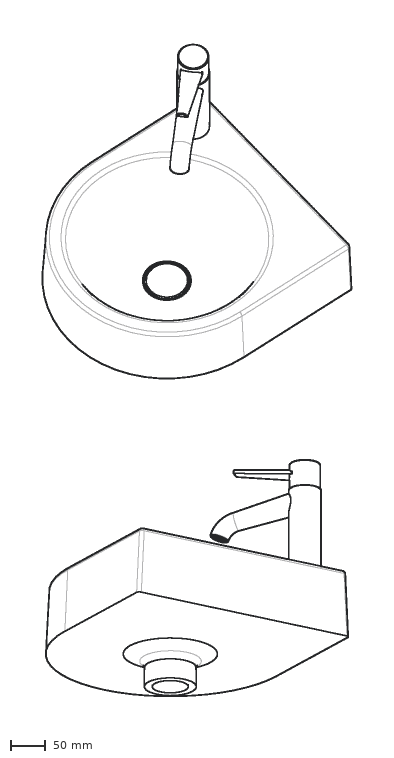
import cadquery as cq
import math

BASE_RADIUS = 179.93
TOP_RADIUS = 174.8
BASIN_HEIGHT = 100.5
BACK_Y = 380 - BASE_RADIUS
EDGE_ROUND = 5.0

BOWL_FLOOR_RADIUS = 35.0
BOWL_FLOOR_Z = -5.7
BOWL_SPHERE_Z = 145.0
BOWL_RIM_ROUND = 7.0
DISH_TOP_RADIUS = 68.0
DISH_BOTTOM_RADIUS = 44.5
DISH_BOTTOM_Z = -10.5
NECK_CURVE_RADIUS = 39.0
NECK_CURVE_Z = -15.2
NECK_BOTTOM_Z = -21.0

DRAIN_RADIUS = 75.0 / 2
DRAIN_BOTTOM_Z = -50.0
DRAIN_BORE_RADIUS = 52.0 / 2
DRAIN_SEAT_RADIUS = 32.5
DRAIN_SEAT_Z = -11.5
PLUG_RADIUS = 60.0 / 2
PLUG_EDGE_Z = -5.0
PLUG_DOME_HEIGHT = 5.5

FAUCET_X = -133.5
FAUCET_Y = 152.8
FAUCET_TURN = -47.0
COLUMN_RADIUS = 47.0 / 2
COLUMN_TOP_Z = 230.0
HEAD_RADIUS = 45.0 / 2
HEAD_TOP_Z = 269.5
HEAD_CHAMFER = 1.33

SPOUT_AXIS_Z = 214.0
SPOUT_SLOPE = 12.5
SPOUT_BASE_RADIUS = 35.0 / 2
ELBOW_START = 102.5
ELBOW_RADIUS = 27.7 / 2
ELBOW_BEND_RADIUS = 34.2
ELBOW_END_SLOPE = 70.0
OUTLET_LENGTH = 3.0
OUTLET_CHAMFER = 1.5
OUTLET_BORE_RADIUS = 20.0 / 2
OUTLET_BORE_DEPTH = 2.3

LEVER_START = 14.5
LEVER_END = 105.3
LEVER_BASE_Z = 251.0
LEVER_SLOPE = 7.3
LEVER_BASE_WIDTH = 32.5
LEVER_BASE_HEIGHT = 10.0
LEVER_TIP_WIDTH = 16.0
LEVER_TIP_HEIGHT = 8.0
LEVER_TIP_CHAMFER = 1.0


def cylinder(radius, bottom, top):
    return cq.Workplane("XY").workplane(offset=bottom).circle(radius).extrude(top - bottom)


def place_on_deck(body):
    """Turn a body built along +X about the Z axis to its place on the basin."""
    return body.rotate((0, 0, 0), (0, 0, 1), FAUCET_TURN).translate((FAUCET_X, FAUCET_Y, 0))


def make_block():
    """Tapered round front joined to a straight-backed rear, with rounded top and rear edges."""
    front = (
        cq.Workplane("XZ")
        .polyline([(0, 0), (BASE_RADIUS, 0), (TOP_RADIUS, BASIN_HEIGHT), (0, BASIN_HEIGHT)])
        .close()
        .revolve(180, (0, 0, 0), (0, -1, 0))
    )
    rear = (
        cq.Workplane("XZ")
        .polyline(
            [
                (-BASE_RADIUS, 0),
                (BASE_RADIUS, 0),
                (TOP_RADIUS, BASIN_HEIGHT),
                (-TOP_RADIUS, BASIN_HEIGHT),
            ]
        )
        .close()
        .extrude(-BACK_Y)
    )
    rear = rear.faces(">Y").edges("not #Z").fillet(EDGE_ROUND)
    return front.union(rear).faces(">Z").edges().fillet(EDGE_ROUND)


def make_bowl_cutter():
    """Spherical bowl that ends in a flat floor over the drain."""
    sphere_radius = math.hypot(BOWL_FLOOR_RADIUS, BOWL_SPHERE_Z - BOWL_FLOOR_Z)
    bowl = cq.Workplane("XY").sphere(sphere_radius).translate((0, 0, BOWL_SPHERE_Z))
    return bowl.intersect(cylinder(sphere_radius, BOWL_FLOOR_Z, BASIN_HEIGHT))


def make_basin():
    """Block with its bowl, dished neck and drain hole."""
    neck = (
        cq.Workplane("XZ")
        .moveTo(0, 0)
        .lineTo(DISH_TOP_RADIUS, 0)
        .lineTo(DISH_BOTTOM_RADIUS, DISH_BOTTOM_Z)
        .threePointArc((NECK_CURVE_RADIUS, NECK_CURVE_Z), (DRAIN_RADIUS, NECK_BOTTOM_Z))
        .lineTo(0, NECK_BOTTOM_Z)
        .close()
        .revolve(360, (0, 0, 0), (0, 1, 0))
    )
    basin = make_block().union(neck).cut(make_bowl_cutter())
    bowl_rim = basin.faces(">Z").edges("%CIRCLE").edges(cq.selectors.RadiusNthSelector(0))
    basin = bowl_rim.fillet(BOWL_RIM_ROUND)
    return basin.cut(cylinder(BOWL_FLOOR_RADIUS, NECK_BOTTOM_Z, BOWL_FLOOR_Z))


def make_drain():
    """Tail pipe with a sleeve through the neck and a stepped seat for the plug."""
    drain = cylinder(DRAIN_RADIUS, DRAIN_BOTTOM_Z, NECK_BOTTOM_Z)
    drain = drain.union(cylinder(BOWL_FLOOR_RADIUS, NECK_BOTTOM_Z, BOWL_FLOOR_Z))
    drain = drain.cut(cylinder(DRAIN_BORE_RADIUS, DRAIN_BOTTOM_Z, BOWL_FLOOR_Z))
    return drain.cut(cylinder(DRAIN_SEAT_RADIUS, DRAIN_SEAT_Z, BOWL_FLOOR_Z))


def make_plug():
    dome_radius = (PLUG_RADIUS**2 + PLUG_DOME_HEIGHT**2) / (2 * PLUG_DOME_HEIGHT)
    half_angle = math.asin(PLUG_RADIUS / dome_radius) / 2
    dome_middle = (
        dome_radius * math.sin(half_angle),
        PLUG_EDGE_Z + PLUG_DOME_HEIGHT - dome_radius * (1 - math.cos(half_angle)),
    )
    return (
        cq.Workplane("XZ")
        .moveTo(0, DRAIN_SEAT_Z)
        .lineTo(PLUG_RADIUS, DRAIN_SEAT_Z)
        .lineTo(PLUG_RADIUS, PLUG_EDGE_Z)
        .threePointArc(dome_middle, (0, PLUG_EDGE_Z + PLUG_DOME_HEIGHT))
        .close()
        .revolve(360, (0, 0, 0), (0, 1, 0))
    )


def make_column():
    return place_on_deck(cylinder(COLUMN_RADIUS, BASIN_HEIGHT, COLUMN_TOP_Z))


def make_head():
    head = cylinder(HEAD_RADIUS, COLUMN_TOP_Z, HEAD_TOP_Z).faces(">Z").chamfer(HEAD_CHAMFER)
    return place_on_deck(head).cut(make_lever())


def sloped_plane(out, height, slope):
    """Plane across the XZ plane, facing outward and down by the slope angle."""
    angle = math.radians(slope)
    return cq.Plane((out, 0, height), (0, 1, 0), (math.cos(angle), 0, -math.sin(angle)))


def make_spout():
    """Tapered arm, bent elbow and recessed outlet, fitted against the column."""
    start_angle = math.radians(SPOUT_SLOPE)
    end_angle = math.radians(ELBOW_END_SLOPE)
    middle_angle = (start_angle + end_angle) / 2
    elbow_z = SPOUT_AXIS_Z - ELBOW_START * math.tan(start_angle)

    def bend_point(angle):
        return (
            ELBOW_START + ELBOW_BEND_RADIUS * (math.sin(angle) - math.sin(start_angle)),
            elbow_z - ELBOW_BEND_RADIUS * (math.cos(start_angle) - math.cos(angle)),
        )

    arm = (
        cq.Workplane(sloped_plane(0, SPOUT_AXIS_Z, SPOUT_SLOPE))
        .circle(SPOUT_BASE_RADIUS)
        .workplane(offset=ELBOW_START / math.cos(start_angle))
        .circle(ELBOW_RADIUS)
        .loft()
    )
    arm = arm.cut(cylinder(COLUMN_RADIUS, BASIN_HEIGHT, HEAD_TOP_Z))
    bend = (
        cq.Workplane("XZ")
        .moveTo(ELBOW_START, elbow_z)
        .threePointArc(bend_point(middle_angle), bend_point(end_angle))
    )
    elbow = cq.Workplane(sloped_plane(ELBOW_START, elbow_z, SPOUT_SLOPE)).circle(ELBOW_RADIUS).sweep(bend)
    outlet_plane = sloped_plane(*bend_point(end_angle), ELBOW_END_SLOPE)
    outlet = (
        cq.Workplane(outlet_plane)
        .circle(ELBOW_RADIUS)
        .extrude(OUTLET_LENGTH)
        .faces("<Z")
        .chamfer(OUTLET_CHAMFER)
    )
    bore = (
        cq.Workplane(outlet_plane)
        .workplane(offset=OUTLET_LENGTH - OUTLET_BORE_DEPTH)
        .circle(OUTLET_BORE_RADIUS)
        .extrude(OUTLET_BORE_DEPTH)
    )
    return place_on_deck(arm.union(elbow).union(outlet).cut(bore))


def lever_section(out, width, height):
    """Half ellipse with its flat side down."""
    bottom_z = LEVER_BASE_Z + (out - LEVER_START) * math.tan(math.radians(LEVER_SLOPE))
    plane = cq.Plane((out, 0, bottom_z), (0, 1, 0), (1, 0, 0))
    profile = (
        cq.Workplane(plane)
        .moveTo(width / 2, 0)
        .ellipseArc(width / 2, height, 0, 180, startAtCurrent=True)
        .close()
    )
    return profile.val()


def make_lever():
    base = lever_section(LEVER_START, LEVER_BASE_WIDTH, LEVER_BASE_HEIGHT)
    tip = lever_section(LEVER_END, LEVER_TIP_WIDTH, LEVER_TIP_HEIGHT)
    lever = cq.Workplane(cq.Solid.makeLoft([base, tip])).faces(">X").chamfer(LEVER_TIP_CHAMFER)
    return place_on_deck(lever)


basin = make_basin()
drain = make_drain()
plug = make_plug()
column = make_column()
head = make_head()
spout = make_spout()
lever = make_lever()

result = cq.Compound.makeCompound(
    [
        basin.val(),
        drain.val(),
        plug.val(),
        column.val(),
        head.val(),
        spout.val(),
        lever.val(),
    ]
)